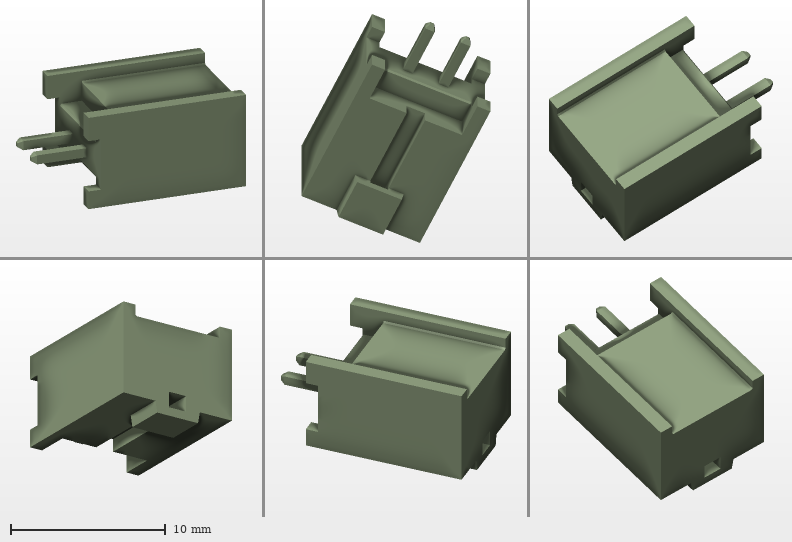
import cadquery as cq


width = 8.43
height = 6.4
wall_thickness = 0.92
wall_length = 10.9
front_length = 10.03
core_length = 8.53
deck_height = 5.6
inner_width = width - 2 * wall_thickness
corner_fill = 0.11

notch_bottom = 1.24
notch_top = 4.77

panel_bottom = 1.7
panel_top = 4.32
bevel_depth = 0.1
bevel_height = 0.12

key_depth = 0.8
key_length = 2.9
key_top_width = 3.45
key_bottom_width = 3.17
slot_width = 1.31
slot_bottom = -0.21
slot_top = 0.88

pin_reach = 13.8
pin_width = 0.68
pin_height = 0.63
pin_pitch = 2.54
pin_z = 2.82
tip_length = 0.33
tip_size = 0.28


def block(size_x, length, z_low, z_high):
    """Box running forward from the rear face, between two heights."""
    return (
        cq.Workplane("XY")
        .box(size_x, length, z_high - z_low, centered=(True, False, False))
        .translate((0, -length, z_low))
    )


def side_wall(side):
    """Side wall whose front end is notched back to the panel face."""
    profile = [
        (0, 0),
        (-wall_length, 0),
        (-wall_length, notch_bottom),
        (-front_length, notch_bottom),
        (-front_length, notch_top),
        (-wall_length, notch_top),
        (-wall_length, height),
        (0, height),
    ]
    wall = cq.Workplane("YZ").polyline(profile).close().extrude(wall_thickness / 2, both=True)
    return wall.translate((side * (width - wall_thickness) / 2, 0, 0))


def core():
    """Block between the walls, filled at 45 degrees where its deck meets them."""
    half = inner_width / 2
    profile = [
        (-half, 0),
        (half, 0),
        (half, deck_height + corner_fill),
        (half - corner_fill, deck_height),
        (-half + corner_fill, deck_height),
        (-half, deck_height + corner_fill),
    ]
    return cq.Workplane("XZ").polyline(profile).close().extrude(core_length)


def front_panel():
    """Panel projecting ahead of the core, bevelled along its upper and lower front edges."""
    bevel_start = front_length - bevel_depth
    profile = [
        (0, panel_bottom),
        (-bevel_start, panel_bottom),
        (-front_length, panel_bottom + bevel_height),
        (-front_length, panel_top - bevel_height),
        (-bevel_start, panel_top),
        (0, panel_top),
    ]
    return cq.Workplane("YZ").polyline(profile).close().extrude(inner_width / 2, both=True)


def key():
    """Tapered key below the housing."""
    profile = [
        (-key_top_width / 2, 0),
        (-key_bottom_width / 2, -key_depth),
        (key_bottom_width / 2, -key_depth),
        (key_top_width / 2, 0),
    ]
    return cq.Workplane("XZ").polyline(profile).close().extrude(key_length)


def pin(x):
    """Rectangular pin starting at the core face, with a tapered square tip."""
    tip_start = pin_reach - tip_length
    shaft = (
        cq.Workplane("XZ", origin=(x, -core_length, pin_z))
        .rect(pin_width, pin_height)
        .extrude(tip_start - core_length)
    )
    tip = (
        cq.Workplane("XZ", origin=(x, -tip_start, pin_z))
        .rect(pin_width, pin_height)
        .workplane(offset=tip_length)
        .rect(tip_size, tip_size)
        .loft(combine=True)
    )
    return shaft.union(tip)


result = core().union(front_panel()).union(key())
for side in (-1, 1):
    result = result.union(side_wall(side))

result = result.cut(block(slot_width, core_length, slot_bottom, slot_top))

for side in (-1, 1):
    result = result.union(pin(side * pin_pitch / 2))